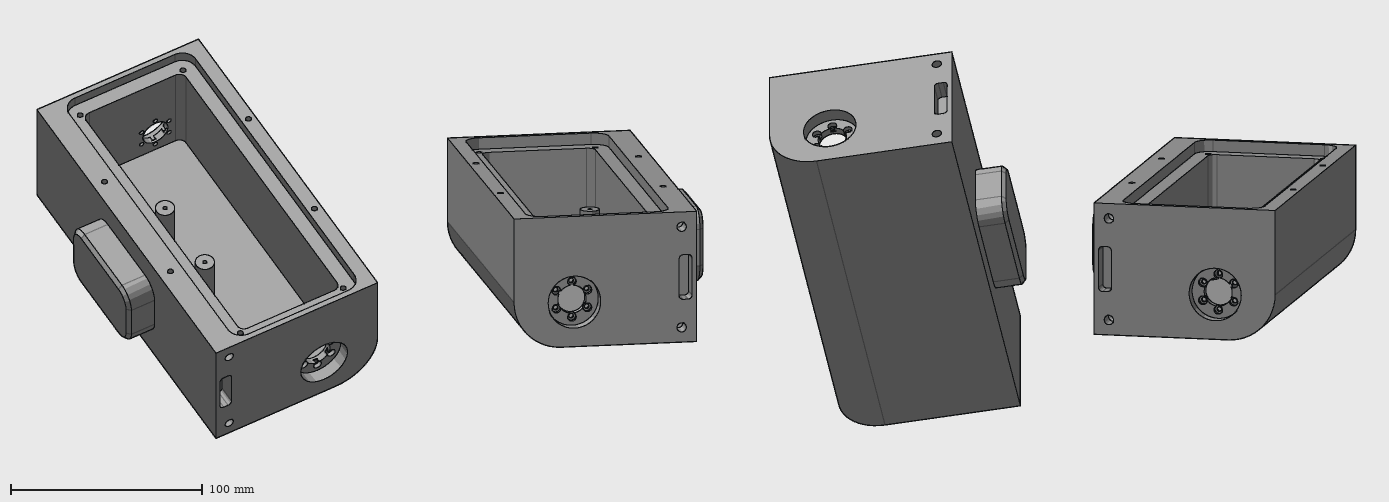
import cadquery as cq
import math

LENGTH = 190.0
DEPTH = 97.0
HEIGHT = 70.0
BACK_BOTTOM_RADIUS = 25.0

RECESS_SIDE_RIM = 3.0
RECESS_BACK_RIM = 8.0
RECESS_FRONT_RIM = 13.3
RECESS_DEPTH = 6.0
RECESS_RADIUS = 8.0
LEDGE_WIDTH = 8.0
CAVITY_RADIUS = 4.0
FLOOR_THICKNESS = 10.0

RECESS_LENGTH = LENGTH - 2 * RECESS_SIDE_RIM
RECESS_WIDTH = DEPTH - RECESS_BACK_RIM - RECESS_FRONT_RIM
RECESS_CENTER_Y = RECESS_FRONT_RIM + RECESS_WIDTH / 2
LEDGE_Z = HEIGHT - RECESS_DEPTH
CAVITY_LENGTH = RECESS_LENGTH - 2 * LEDGE_WIDTH
CAVITY_WIDTH = RECESS_WIDTH - 2 * LEDGE_WIDTH
END_WALL = (LENGTH - CAVITY_LENGTH) / 2

PAD_LENGTH = 59.7
PAD_HEIGHT = 39.7
PAD_THICKNESS = 16.0
PAD_RADIUS = 10.0
PAD_CHAMFER = 2.0

TIP_ANGLE = 118.0
SCREW_DIAMETER = 3.0
SCREW_DEPTH = 10.0
RIM_SCREW_X = 35.0
LEDGE_SCREW_INSET = 7.0
END_SCREW_DIAMETER = 5.0
END_SCREW_DEPTH = 10.0
END_SCREW_INSET = 8.0

SHAFT_BACK_DISTANCE = 32.1
SHAFT_Y = DEPTH - SHAFT_BACK_DISTANCE
SHAFT_Z = 24.0
SEAT_DIAMETER = 28.0
SEAT_DEPTH = 7.0
BORE_DIAMETER = 15.0
BOLT_COUNT = 6
BOLT_CIRCLE_RADIUS = 9.5
BOLT_DIAMETER = 2.5
BOLT_HEAD_DIAMETER = 4.5
BOLT_HEAD_DEPTH = 2.5

SLOT_FRONT_GAP = 2.5
SLOT_WIDTH = 6.8
SLOT_HEIGHT = 24.0
SLOT_RADIUS = 2.0
SLOT_DEPTH = 10.0

STANDOFF_X = 21.0
STANDOFF_Y = 35.2
STANDOFF_DIAMETER = 10.0
STANDOFF_TOP_Z = 46.0
PILOT_DIAMETER = 2.0
PILOT_DEPTH = 10.0


def rounded_block(length, width, height, radius):
    """Block standing on Z = 0 with rounded vertical edges."""
    block = cq.Workplane("XY").box(length, width, height, centered=(True, True, False))
    return block.edges("|Z").fillet(radius)


def drilled_hole(diameter, depth):
    """Cutter pointing down from the origin, ending in a drill tip."""
    radius = diameter / 2
    tip = radius / math.tan(math.radians(TIP_ANGLE / 2))
    profile = [(0, 0), (radius, 0), (radius, -depth), (0, -depth - tip)]
    return cq.Workplane("XZ").polyline(profile).close().revolve(360, (0, 0), (0, 1))


def make_body():
    block = cq.Workplane("XY").box(LENGTH, DEPTH, HEIGHT, centered=(True, False, False))
    return block.edges("|X and >Y and <Z").fillet(BACK_BOTTOM_RADIUS)


def make_pad():
    pad = rounded_block(PAD_LENGTH, PAD_HEIGHT, PAD_THICKNESS, PAD_RADIUS)
    pad = pad.faces(">Z").chamfer(PAD_CHAMFER)
    return pad.rotate((0, 0, 0), (1, 0, 0), 90).translate((0, 0, HEIGHT / 2))


def make_opening():
    recess = rounded_block(RECESS_LENGTH, RECESS_WIDTH, RECESS_DEPTH, RECESS_RADIUS)
    cavity = rounded_block(CAVITY_LENGTH, CAVITY_WIDTH, LEDGE_Z - FLOOR_THICKNESS, CAVITY_RADIUS)
    recess = recess.translate((0, RECESS_CENTER_Y, LEDGE_Z))
    return recess.union(cavity.translate((0, RECESS_CENTER_Y, FLOOR_THICKNESS)))


def make_top_screw_holes():
    ledge_x = RECESS_LENGTH / 2 - LEDGE_SCREW_INSET
    ledge_y = RECESS_WIDTH / 2 - LEDGE_SCREW_INSET
    hole = drilled_hole(SCREW_DIAMETER, SCREW_DEPTH)
    holes = cq.Workplane("XY")
    for side in (-1, 1):
        for y in (RECESS_FRONT_RIM / 2, DEPTH - RECESS_BACK_RIM / 2):
            holes.add(hole.translate((side * RIM_SCREW_X, y, HEIGHT)))
        for y in (RECESS_CENTER_Y - ledge_y, RECESS_CENTER_Y + ledge_y):
            holes.add(hole.translate((side * ledge_x, y, LEDGE_Z)))
    return holes.combine()


def make_standoffs():
    """Round posts rooted in the floor, each with a pilot hole in its top."""
    post = cq.Workplane("XY").circle(STANDOFF_DIAMETER / 2).extrude(STANDOFF_TOP_Z)
    post = post.cut(drilled_hole(PILOT_DIAMETER, PILOT_DEPTH).translate((0, 0, STANDOFF_TOP_Z)))
    posts = cq.Workplane("XY")
    for side in (-1, 1):
        posts.add(post.translate((side * STANDOFF_X, STANDOFF_Y, 0)))
    return posts.combine()


def make_end_cuts():
    """Shaft seat, bolt circle, slot and screw holes of the -X end wall."""
    face = cq.Workplane("YZ", origin=(-LENGTH / 2, 0, 0))
    seat_floor = face.workplane(offset=SEAT_DEPTH)
    cuts = face.center(SHAFT_Y, SHAFT_Z).circle(SEAT_DIAMETER / 2).extrude(SEAT_DEPTH)
    cuts = cuts.union(face.center(SHAFT_Y, SHAFT_Z).circle(BORE_DIAMETER / 2).extrude(END_WALL))

    bolts = seat_floor.center(SHAFT_Y, SHAFT_Z).polarArray(BOLT_CIRCLE_RADIUS, 90, 360, BOLT_COUNT)
    cuts = cuts.union(bolts.circle(BOLT_DIAMETER / 2).extrude(END_WALL - SEAT_DEPTH))
    cuts = cuts.union(bolts.circle(BOLT_HEAD_DIAMETER / 2).extrude(BOLT_HEAD_DEPTH))

    slot = face.center(SLOT_FRONT_GAP + SLOT_WIDTH / 2, HEIGHT / 2).rect(SLOT_WIDTH, SLOT_HEIGHT)
    cuts = cuts.union(slot.extrude(SLOT_DEPTH).edges("|X").fillet(SLOT_RADIUS))

    screw = drilled_hole(END_SCREW_DIAMETER, END_SCREW_DEPTH).rotate((0, 0, 0), (0, 1, 0), -90)
    for z in (END_SCREW_INSET, HEIGHT - END_SCREW_INSET):
        cuts = cuts.union(screw.translate((-LENGTH / 2, END_SCREW_INSET, z)))
    return cuts


end_cuts = make_end_cuts()
housing = make_body().union(make_pad()).cut(make_opening())
housing = housing.cut(make_top_screw_holes()).union(make_standoffs())
result = housing.cut(end_cuts).cut(end_cuts.mirror("YZ"))